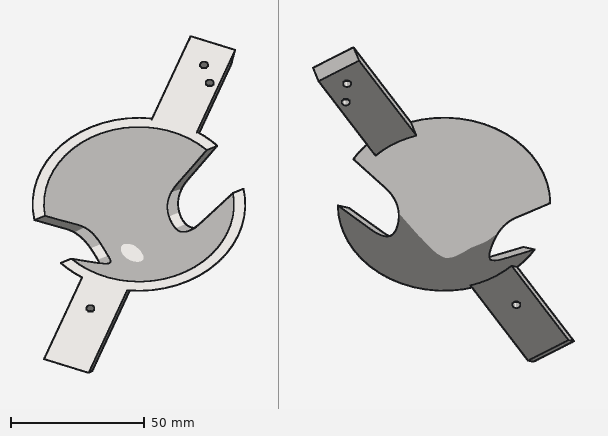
import cadquery as cq
import math

RIM_DIAMETER = 80.0
RIM_RADIUS = RIM_DIAMETER / 2
WALL_THICKNESS = 3.0
INNER_RIM_RADIUS = RIM_RADIUS - WALL_THICKNESS * math.sqrt(2)

ARM_REACH = 79.5
ARM_WIDTH = 18.0
ARM_THICKNESS = 4.0
BACK_ARM_CENTER_X = -0.5
FRONT_ARM_CENTER_X = 1.0

HOLE_DIAMETER = 3.0
HOLE_CENTERS = [(0, 68.8), (5.0, 61.8), (0, -51.3)]

NOTCH_ANGLE = 47.3
NOTCH_RIM_WIDTH = 22.1
NOTCH_RIM_HALF_WIDTH = NOTCH_RIM_WIDTH / 2
NOTCH_BOTTOM_RADIUS = 10.0
NOTCH_CENTER_DEPTH = 11.6


def cone(radius):
    """Solid 45 degree cone with its base at Z = 0 and its apex below."""
    outline = cq.Workplane("XZ").polyline([(0, 0), (radius, 0), (0, -radius)]).close()
    return outline.revolve(360, (0, 0, 0), (0, 1, 0))


def arm(center_x, side):
    """Arm from the funnel axis out to side * ARM_REACH along Y."""
    outline = [
        (0, 0),
        (side * ARM_REACH, 0),
        (side * (ARM_REACH - ARM_THICKNESS), -ARM_THICKNESS),
        (0, -ARM_THICKNESS),
    ]
    bar = cq.Workplane("YZ").polyline(outline).close().extrude(ARM_WIDTH / 2, both=True)
    return bar.translate((center_x, 0, 0))


def notch_cutter():
    """Horizontal prism through both funnel walls, with a tapered U section."""
    center_distance = math.hypot(NOTCH_RIM_HALF_WIDTH, NOTCH_CENTER_DEPTH)
    rim_corner_angle = math.asin(NOTCH_RIM_HALF_WIDTH / center_distance)
    tangent_angle = math.asin(NOTCH_BOTTOM_RADIUS / center_distance)
    taper = rim_corner_angle - tangent_angle
    tangent_x = NOTCH_BOTTOM_RADIUS * math.cos(taper)
    tangent_z = -NOTCH_CENTER_DEPTH - NOTCH_BOTTOM_RADIUS * math.sin(taper)
    bottom_z = -NOTCH_CENTER_DEPTH - NOTCH_BOTTOM_RADIUS
    section = (
        cq.Workplane("XZ")
        .moveTo(-NOTCH_RIM_HALF_WIDTH, 0)
        .lineTo(-tangent_x, tangent_z)
        .threePointArc((0, bottom_z), (tangent_x, tangent_z))
        .lineTo(NOTCH_RIM_HALF_WIDTH, 0)
        .close()
    )
    prism = section.extrude(RIM_RADIUS, both=True)
    return prism.rotate((0, 0, 0), (0, 0, 1), NOTCH_ANGLE - 90)


def hole_cutter():
    """Vertical cylinders for the screw holes."""
    return cq.Workplane("XY").pushPoints(HOLE_CENTERS).circle(HOLE_DIAMETER / 2).extrude(-ARM_THICKNESS)


body = cone(RIM_RADIUS)
body = body.union(arm(BACK_ARM_CENTER_X, 1))
body = body.union(arm(FRONT_ARM_CENTER_X, -1))
body = body.cut(cone(INNER_RIM_RADIUS))
body = body.cut(notch_cutter())
result = body.cut(hole_cutter())